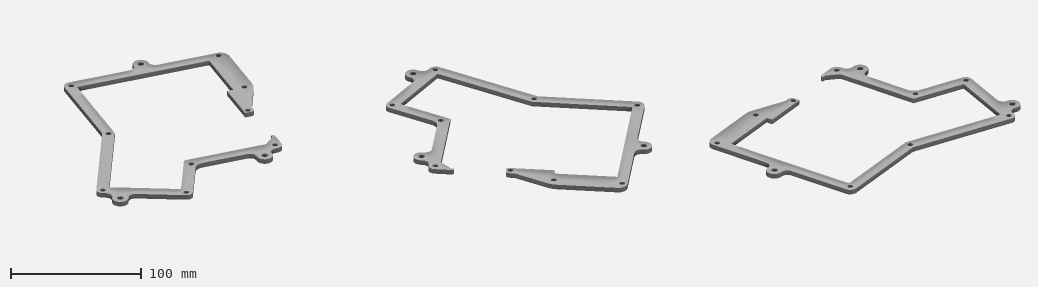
import cadquery as cq
import math

THICKNESS = 4.0
RAIL_WIDTH = 9.0
SLANT = math.radians(25)

SCREW_DIAMETER = 4.4
LUG_HOLE_DIAMETER = 5.0
LUG_RADIUS = 6.3
LUG_FILLET = 5.5

TOP_Y = 135.4
PLATE_INNER_Y = 118.2
STEP_X = 57.8
PLATE_BOTTOM_Y = 113.2
PLATE_BREAK_X = 57.5
PLATE_END_X = 94.8
PLATE_END_Y = 121.4

UPRIGHT_INNER_X = 145.6
UPRIGHT_OUTER_X = UPRIGHT_INNER_X + RAIL_WIDTH
HOOK_TOP_Y = 121.1
HOOK_BOTTOM_Y = 118.5
HOOK_TIP_X = 134.5
HOOK_SLOPE_TOP_X = 137.0
HOOK_SLOPE_BOTTOM_Y = HOOK_BOTTOM_Y - (UPRIGHT_INNER_X - HOOK_SLOPE_TOP_X)

LOWER_OUTER_ACROSS = 35.0
LOWER_INNER_ACROSS = 44.5
UPPER_INNER_ACROSS = 99.5
UPPER_OUTER_ACROSS = 109.0
LEG_INNER_ALONG = 158.8
LEG_OUTER_ALONG = 168.2
SLANT_END_RADIUS = 5.0

LEFT_LUG_Y = 67.8
LEFT_LUG_REACH = 6.0
UPPER_LUG_Y = 102.3
UPPER_LUG_REACH = 6.7
LEG_LUG_ACROSS = 54.0
LEG_LUG_REACH = 6.7

SCREW_HOLES = [
    (4.2, 127.8),
    (57.0, 127.8),
    (91.5, 116.5),
    (149.2, 115.7),
    (152.7, 45.2),
    (192.0, 25.1),
    (5.6, 5.6),
    (85.2, 4.2),
    (165.0, -32.9),
]


def slanted(along, across):
    """Convert a position in the slanted section to X and Y."""
    return (
        along * math.cos(SLANT) + across * math.sin(SLANT),
        across * math.cos(SLANT) - along * math.sin(SLANT),
    )


def slant_at_x(x, across):
    """Point at a given X on a line that runs down the slant."""
    return (x, (across - x * math.sin(SLANT)) / math.cos(SLANT))


def slant_at_y(y, across):
    """Point at a given Y on a line that runs down the slant."""
    return ((across - y * math.cos(SLANT)) / math.sin(SLANT), y)


def lug(edge_point, outward_degrees, reach):
    """Round lug with a hole, blended by concave arcs into a straight edge."""
    spread = LUG_RADIUS + LUG_FILLET
    foot = math.sqrt(spread**2 - (reach - LUG_FILLET) ** 2)
    blend = math.atan2(foot, LUG_FILLET - reach)
    touch_x = reach + LUG_RADIUS * math.cos(blend)
    touch_y = LUG_RADIUS * math.sin(blend)
    middle = math.pi + blend / 2
    mid_x = LUG_FILLET + LUG_FILLET * math.cos(middle)
    mid_y = foot + LUG_FILLET * math.sin(middle)
    root = -RAIL_WIDTH / 2
    body = (
        cq.Workplane("XY")
        .moveTo(root, -foot)
        .lineTo(0, -foot)
        .threePointArc((mid_x, -mid_y), (touch_x, -touch_y))
        .threePointArc((reach + LUG_RADIUS, 0), (touch_x, touch_y))
        .threePointArc((mid_x, mid_y), (0, foot))
        .lineTo(root, foot)
        .close()
        .extrude(THICKNESS)
    )
    hole = cq.Workplane("XY").center(reach, 0).circle(LUG_HOLE_DIAMETER / 2).extrude(THICKNESS)
    place = cq.Location(cq.Vector(*edge_point), cq.Vector(0, 0, 1), outward_degrees)
    return body.val().moved(place), hole.val().moved(place)


top_left = (0, TOP_Y)
bottom_left = (0, 0)
plate_break = (PLATE_BREAK_X, TOP_Y)
plate_end = (PLATE_END_X, PLATE_END_Y)
plate_foot = (PLATE_BREAK_X + (TOP_Y - PLATE_END_Y) / math.tan(SLANT), PLATE_END_Y)
bottom_corner = slanted(LEG_OUTER_ALONG, LOWER_OUTER_ACROSS)
right_corner = slanted(LEG_OUTER_ALONG, UPPER_OUTER_ACROSS)
upright_bend = slant_at_x(UPRIGHT_OUTER_X, UPPER_OUTER_ACROSS)
hook_corner = (UPRIGHT_OUTER_X, HOOK_TOP_Y)
hook_tip = (HOOK_TIP_X, HOOK_TOP_Y)
hook_throat = (HOOK_SLOPE_TOP_X, HOOK_BOTTOM_Y)

outline = [
    bottom_left,
    slant_at_y(0, LOWER_OUTER_ACROSS),
    bottom_corner,
    right_corner,
    upright_bend,
    hook_corner,
    hook_tip,
    (HOOK_TIP_X, HOOK_BOTTOM_Y),
    hook_throat,
    (UPRIGHT_INNER_X, HOOK_SLOPE_BOTTOM_Y),
    slant_at_x(UPRIGHT_INNER_X, UPPER_INNER_ACROSS),
    slanted(LEG_INNER_ALONG, UPPER_INNER_ACROSS),
    slanted(LEG_INNER_ALONG, LOWER_INNER_ACROSS),
    slant_at_y(RAIL_WIDTH, LOWER_INNER_ACROSS),
    (RAIL_WIDTH, RAIL_WIDTH),
    (RAIL_WIDTH, PLATE_INNER_Y),
    (STEP_X, PLATE_INNER_Y),
    (STEP_X, PLATE_BOTTOM_Y),
    (PLATE_END_X, PLATE_BOTTOM_Y),
    plate_end,
    plate_foot,
    plate_break,
    top_left,
]
frame = cq.Workplane("XY").polyline(outline).close().extrude(THICKNESS)

corner_radii = [
    (top_left, 7.1),
    (bottom_left, 5.6),
    (plate_break, 16.7),
    (plate_foot, 8.4),
    (plate_end, 3.1),
    (bottom_corner, SLANT_END_RADIUS),
    (right_corner, SLANT_END_RADIUS),
    (upright_bend, 8.4),
    (hook_corner, 5.5),
    (hook_tip, 1.9),
    (hook_throat, 2.5),
]
for (x, y), radius in corner_radii:
    corner = cq.selectors.NearestToPointSelector((x, y, THICKNESS / 2))
    frame = frame.edges("|Z").edges(corner).fillet(radius)

lugs = [
    lug((0, LEFT_LUG_Y), 180, LEFT_LUG_REACH),
    lug((UPRIGHT_OUTER_X, UPPER_LUG_Y), 0, UPPER_LUG_REACH),
    lug(slanted(LEG_OUTER_ALONG, LEG_LUG_ACROSS), -math.degrees(SLANT), LEG_LUG_REACH),
]
for body, hole in lugs:
    frame = frame.union(cq.Workplane(body)).cut(cq.Workplane(hole))

screws = cq.Workplane("XY").pushPoints(SCREW_HOLES).circle(SCREW_DIAMETER / 2).extrude(THICKNESS)
result = frame.cut(screws)